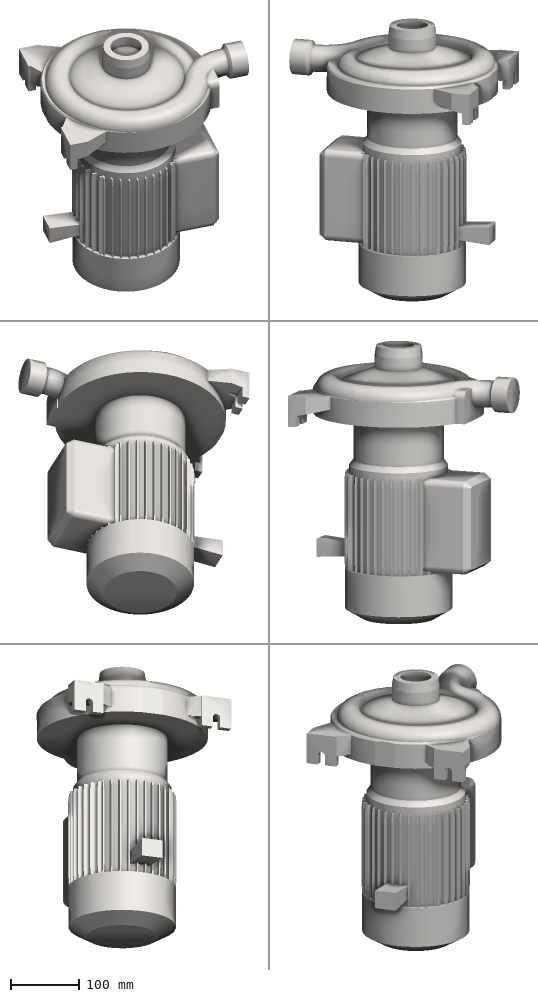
import cadquery as cq
import math

PUMP_TOP_Z = 405.0

CAP_RADIUS = 78.5
CAP_TIP_RADIUS = 53.0
CAP_CHAMFER_Z = 15.0
FIN_BOTTOM_Z = 75.0
FIN_TOP_Z = 217.0
COLLAR_RADIUS = 72.2
COLLAR_CONE_BOTTOM_Z = 227.5
COLLAR_CONE_TOP_Z = 236.0
NECK_RADIUS = 66.0

FIN_RADIUS = 79.7
FIN_TAPER_DEPTH = 1.2
FIN_TAPER_LENGTH = 12.0
FIN_THICKNESS = 2.0
FINS_PER_SIDE = 10
FIN_PITCH_ANGLE = 90.0 / FINS_PER_SIDE

BOX_WIDTH = 94.0
BOX_BACK_Y = 129.5
BOX_BOTTOM_Z = 78.5
BOX_TOP_Z = FIN_TOP_Z
BOX_EDGE_RADIUS = 10.0
BOX_CHAMFER_DEPTH = 10.0
BOX_CHAMFER_SIDE = 7.5

LUG_WIDTH = 32.5
LUG_FRONT_Y = -122.5
LUG_CENTRE_Z = 98.3
LUG_FRONT_HEIGHT = 27.0
LUG_ROOT_HEIGHT = 19.5
LUG_ROOT_Y = -77.5

FLANGE_RADIUS = 125.0
FLANGE_BOTTOM_Z = 305.0
FLANGE_EDGE_Z = 342.0
FLANGE_TOP_Z = 345.0
FLANGE_TOP_RADIUS = 123.0
FLANGE_FLAT_WIDTH = 31.0

INLET_RADIUS = 35.0
INLET_TIP_RADIUS = 33.0
INLET_BOTTOM_Z = 371.5
INLET_CHAMFER_Z = 391.5
INLET_BORE_RADIUS = 22.8
INLET_BORE_DEPTH = 17.0
COVER_SLOPE = 0.372
COVER_RADIUS = INLET_RADIUS + (INLET_BOTTOM_Z - FLANGE_TOP_Z) / COVER_SLOPE

TUBE_RADIUS = 20.0
TUBE_Z = FLANGE_EDGE_Z
VOLUTE_RADIUS = 100.0
VOLUTE_X = FLANGE_RADIUS - VOLUTE_RADIUS - TUBE_RADIUS
BEND_RADIUS = 60.0
BEND_ANGLE = math.acos((BEND_RADIUS - VOLUTE_X) / (VOLUTE_RADIUS + BEND_RADIUS))
BEND_END_Y = (VOLUTE_RADIUS + BEND_RADIUS) * math.sin(BEND_ANGLE)

TAIL_TUBE_RADIUS = 14.5
TAIL_ARC_RADIUS = 92.0
TAIL_END_ANGLE = math.radians(75.0)
TAIL_SECTIONS = 6

OUTLET_RADIUS = 26.0
OUTLET_END_Y = 180.0
OUTLET_CONE_Y = 155.0

BLOCK_LEFT_X = 10.0
BLOCK_RIGHT_X = 56.0
BLOCK_FRONT_Y = 95.0
BLOCK_BACK_Y = 125.5
BLOCK_ROUND = 11.0
BLOCK_TOP_Z = FLANGE_EDGE_Z + BLOCK_ROUND

FOOT_FRONT_Y = -125.0
FOOT_OUTER_X = 122.5
FOOT_INNER_X = 77.0
FOOT_STEP = 2.7
FOOT_SIDE_Y = -97.5
FOOT_SIDE_ROOT = (107.0, -65.0)
FOOT_INNER_ROOT = (57.5, -110.0)
FOOT_HIDDEN_OUTER = (90.0, -60.0)
FOOT_HIDDEN_INNER = (54.0, -100.0)
FOOT_BOTTOM_Z = 296.0
LEG_BACK_Y = -113.8
LEG_ROOT_Z = 312.5
UNDERSIDE_RISE = 0.21
UNDERSIDE_BACK_Y = -50.0
WEB_BOTTOM_Z = 311.3
SLOT_X = 99.5
SLOT_WIDTH = 11.0
SLOT_TOP_Z = 315.7
SLOT_BACK_Y = -95.0


def revolve_profile(points):
    """Revolve an (R, Z) outline about the Z axis."""
    return cq.Workplane("XZ").polyline(points).close().revolve(360, (0, 0, 0), (0, 1, 0))


def block_between(low, high):
    """Axis-aligned box between two opposite corners."""
    size = [b - a for a, b in zip(low, high)]
    return cq.Workplane("XY").box(*size, centered=False).translate(low)


def make_motor_core():
    return revolve_profile([
        (0, 0),
        (CAP_TIP_RADIUS, 0),
        (CAP_RADIUS, CAP_CHAMFER_Z),
        (CAP_RADIUS, FIN_BOTTOM_Z),
        (COLLAR_RADIUS, FIN_BOTTOM_Z),
        (COLLAR_RADIUS, COLLAR_CONE_BOTTOM_Z),
        (NECK_RADIUS, COLLAR_CONE_TOP_Z),
        (NECK_RADIUS, FLANGE_BOTTOM_Z),
        (0, FLANGE_BOTTOM_Z),
    ])


def make_fin_plate(reach):
    """Plate lying along X with square ends, slightly tapered at top and bottom."""
    end_reach = reach - FIN_TAPER_DEPTH
    outline = [
        (end_reach, FIN_BOTTOM_Z),
        (reach, FIN_BOTTOM_Z + FIN_TAPER_LENGTH),
        (reach, FIN_TOP_Z - FIN_TAPER_LENGTH),
        (end_reach, FIN_TOP_Z),
        (-end_reach, FIN_TOP_Z),
        (-reach, FIN_TOP_Z - FIN_TAPER_LENGTH),
        (-reach, FIN_BOTTOM_Z + FIN_TAPER_LENGTH),
        (-end_reach, FIN_BOTTOM_Z),
    ]
    return cq.Workplane("XZ").polyline(outline).close().extrude(FIN_THICKNESS / 2, both=True)


def make_fins():
    """One set of parallel plates along X, and the same set turned along Y."""
    fins = cq.Workplane("XY")
    for index in range(FINS_PER_SIDE):
        angle = (index - (FINS_PER_SIDE - 1) / 2) * FIN_PITCH_ANGLE
        offset = FIN_RADIUS * math.sin(math.radians(angle))
        reach = math.sqrt(FIN_RADIUS ** 2 - (abs(offset) + FIN_THICKNESS) ** 2)
        plate = make_fin_plate(reach).translate((0, offset, 0))
        fins = fins.add(plate)
        fins = fins.add(plate.rotate((0, 0, 0), (0, 0, 1), 90))
    return fins.combine()


def make_terminal_box():
    box = block_between(
        (-BOX_WIDTH / 2, 0, BOX_BOTTOM_Z),
        (BOX_WIDTH / 2, BOX_BACK_Y, BOX_TOP_Z),
    )
    box = box.edges("|Y").fillet(BOX_EDGE_RADIUS)
    return box.faces(">Y").chamfer(BOX_CHAMFER_SIDE, BOX_CHAMFER_DEPTH)


def make_support_lug():
    """Bar that grows taller from the motor toward its front end."""
    growth = (LUG_FRONT_HEIGHT - LUG_ROOT_HEIGHT) / (LUG_ROOT_Y - LUG_FRONT_Y)
    start_y = -NECK_RADIUS
    start_half = (LUG_ROOT_HEIGHT - growth * (start_y - LUG_ROOT_Y)) / 2
    front_half = LUG_FRONT_HEIGHT / 2
    outline = [
        (start_y, LUG_CENTRE_Z - start_half),
        (LUG_FRONT_Y, LUG_CENTRE_Z - front_half),
        (LUG_FRONT_Y, LUG_CENTRE_Z + front_half),
        (start_y, LUG_CENTRE_Z + start_half),
    ]
    return cq.Workplane("YZ").polyline(outline).close().extrude(LUG_WIDTH / 2, both=True)


def make_flange_and_inlet():
    body = revolve_profile([
        (0, FLANGE_BOTTOM_Z),
        (FLANGE_RADIUS, FLANGE_BOTTOM_Z),
        (FLANGE_RADIUS, FLANGE_EDGE_Z),
        (FLANGE_TOP_RADIUS, FLANGE_TOP_Z),
        (COVER_RADIUS, FLANGE_TOP_Z),
        (INLET_RADIUS, INLET_BOTTOM_Z),
        (INLET_RADIUS, INLET_CHAMFER_Z),
        (INLET_TIP_RADIUS, PUMP_TOP_Z),
        (0, PUMP_TOP_Z),
    ])
    bore = (
        cq.Workplane("XY")
        .workplane(offset=PUMP_TOP_Z - INLET_BORE_DEPTH)
        .circle(INLET_BORE_RADIUS)
        .extrude(INLET_BORE_DEPTH)
    )
    flat_y = -math.sqrt(FLANGE_RADIUS ** 2 - (FLANGE_FLAT_WIDTH / 2) ** 2)
    trim = block_between(
        (-FLANGE_RADIUS, -2 * FLANGE_RADIUS, FLANGE_BOTTOM_Z),
        (FLANGE_RADIUS, flat_y, FLANGE_TOP_Z),
    )
    return body.cut(bore).cut(trim)


def arc_tube(centre, arc_radius, start_angle, end_angle):
    """Round tube along a horizontal arc, swept counter-clockwise; angles in radians."""
    angle = math.degrees(end_angle - start_angle)
    tube = (
        cq.Workplane("XZ")
        .center(arc_radius, 0)
        .circle(TUBE_RADIUS)
        .revolve(angle, (-arc_radius, 0, 0), (-arc_radius, 1, 0))
    )
    tube = tube.rotate((0, 0, 0), (0, 0, 1), math.degrees(start_angle))
    return tube.translate((centre[0], centre[1], TUBE_Z))


def make_volute_tail():
    """Loft that narrows from the full tube at the left to the covered start of the volute."""
    sections = []
    for index in range(TAIL_SECTIONS):
        share = index / (TAIL_SECTIONS - 1)
        angle = math.pi + share * (TAIL_END_ANGLE - math.pi)
        arc_radius = VOLUTE_RADIUS + share * (TAIL_ARC_RADIUS - VOLUTE_RADIUS)
        tube_radius = TUBE_RADIUS + share * (TAIL_TUBE_RADIUS - TUBE_RADIUS)
        centre = cq.Vector(
            VOLUTE_X + arc_radius * math.cos(angle),
            arc_radius * math.sin(angle),
            TUBE_Z,
        )
        along = cq.Vector(math.sin(angle), -math.cos(angle), 0)
        sections.append(cq.Wire.makeCircle(tube_radius, centre, along))
    return cq.Workplane(cq.Solid.makeLoft(sections))


def make_volute():
    main = arc_tube((VOLUTE_X, 0), VOLUTE_RADIUS, -math.pi, BEND_ANGLE)
    bend = arc_tube((BEND_RADIUS, BEND_END_Y), BEND_RADIUS, math.pi, math.pi + BEND_ANGLE)
    return main.union(bend).union(make_volute_tail())


def make_outlet_socket():
    outline = [
        (0, BEND_END_Y),
        (TUBE_RADIUS, BEND_END_Y),
        (OUTLET_RADIUS, OUTLET_CONE_Y),
        (OUTLET_RADIUS, OUTLET_END_Y),
        (0, OUTLET_END_Y),
    ]
    socket = cq.Workplane("XY").polyline(outline).close().revolve(360, (0, 0, 0), (0, 1, 0))
    return socket.translate((0, 0, TUBE_Z))


def make_outlet_block():
    block = block_between(
        (BLOCK_LEFT_X, BLOCK_FRONT_Y, FLANGE_BOTTOM_Z),
        (BLOCK_RIGHT_X, BLOCK_BACK_Y, BLOCK_TOP_Z),
    )
    return block.edges("|Y and >X and >Z").fillet(BLOCK_ROUND)


def make_foot():
    """Right-hand foot: a plate with a sloping underside, a slotted front leg and an inner web."""
    plan = [
        (FOOT_OUTER_X, FOOT_FRONT_Y),
        (FOOT_OUTER_X, FOOT_SIDE_Y),
        FOOT_SIDE_ROOT,
        FOOT_HIDDEN_OUTER,
        FOOT_HIDDEN_INNER,
        FOOT_INNER_ROOT,
        (FOOT_INNER_X, FOOT_FRONT_Y + FOOT_STEP),
        (FOOT_INNER_X, FOOT_FRONT_Y),
    ]
    foot = (
        cq.Workplane("XY")
        .workplane(offset=FOOT_BOTTOM_Z)
        .polyline(plan)
        .close()
        .extrude(FLANGE_EDGE_Z - FOOT_BOTTOM_Z)
    )
    underside = [
        (LEG_BACK_Y, FOOT_BOTTOM_Z),
        (LEG_BACK_Y, LEG_ROOT_Z),
        (UNDERSIDE_BACK_Y, LEG_ROOT_Z + UNDERSIDE_RISE * (UNDERSIDE_BACK_Y - LEG_BACK_Y)),
        (UNDERSIDE_BACK_Y, FOOT_BOTTOM_Z),
    ]
    hollow = cq.Workplane("YZ").polyline(underside).close().extrude(FLANGE_RADIUS)
    below_web = block_between(
        (0, FOOT_FRONT_Y, FOOT_BOTTOM_Z),
        (FOOT_INNER_X, UNDERSIDE_BACK_Y, WEB_BOTTOM_Z),
    )

    slot_radius = SLOT_WIDTH / 2
    slot_shoulder_z = SLOT_TOP_Z - slot_radius
    slot = (
        cq.Workplane("XZ", origin=(0, SLOT_BACK_Y, 0))
        .moveTo(SLOT_X - slot_radius, FOOT_BOTTOM_Z)
        .lineTo(SLOT_X - slot_radius, slot_shoulder_z)
        .threePointArc((SLOT_X, SLOT_TOP_Z), (SLOT_X + slot_radius, slot_shoulder_z))
        .lineTo(SLOT_X + slot_radius, FOOT_BOTTOM_Z)
        .close()
        .extrude(SLOT_BACK_Y - FOOT_FRONT_Y)
    )
    return foot.cut(hollow).cut(below_web).cut(slot)


right_foot = make_foot()
features = [
    make_fins(),
    make_terminal_box(),
    make_support_lug(),
    make_flange_and_inlet(),
    make_volute(),
    make_outlet_socket(),
    make_outlet_block(),
    right_foot,
    right_foot.mirror("YZ"),
]

result = make_motor_core()
for feature in features:
    result = result.union(feature)